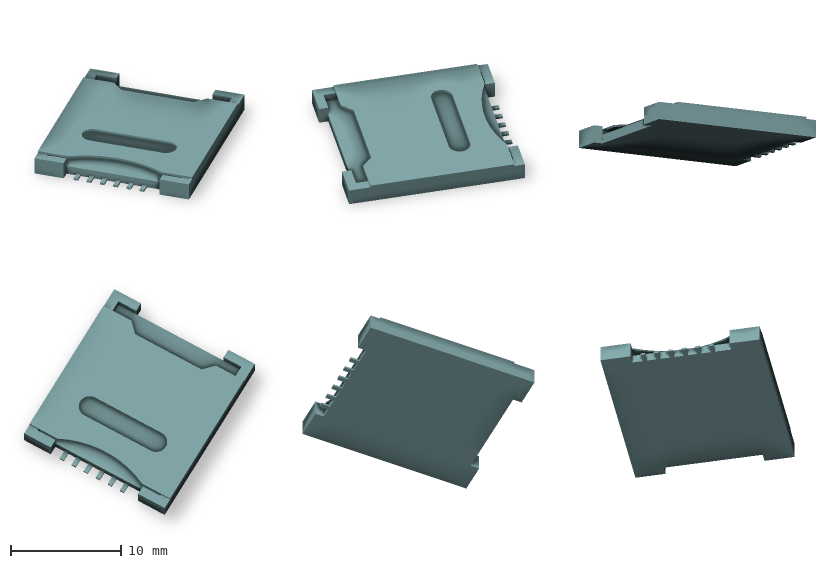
import cadquery as cq

WIDTH = 14.75
LENGTH = 16.4
HEIGHT = 1.8

COVER_THICKNESS = 0.2
FLOOR_THICKNESS = 0.8
SIDE_WALL = 0.92
END_WALL = 0.85
CORNER_WIDTH = 2.79

COVER_FRONT_INSET = 0.98
COVER_BACK_INSET = 1.98
NOTCH_DEPTH = 0.98
NOTCH_OUTER_WIDTH = 8.89
NOTCH_INNER_WIDTH = 6.95
THUMB_WIDTH = NOTCH_OUTER_WIDTH
THUMB_DEPTH = 1.07
SLOT_LENGTH = 8.97
SLOT_WIDTH = 2.0
SLOT_FROM_FRONT = 5.2

PIN_COUNT = 6
PIN_PITCH = 1.26
PIN_WIDTH = 0.43
PIN_HEIGHT = 0.2
PIN_ROW_CENTER_X = -0.28

tray_height = HEIGHT - COVER_THICKNESS
front_y = -LENGTH / 2
bay_length = LENGTH - 2 * END_WALL


def centered_box(width, length, height, z=0):
    """Box centred on X and Y, standing on the given Z level."""
    return cq.Workplane("XY").workplane(offset=z).rect(width, length).extrude(height)


def make_tray():
    """Frame with a sunken floor and end walls interrupted between the corners."""
    bay_depth = tray_height - FLOOR_THICKNESS
    bay = centered_box(WIDTH - 2 * SIDE_WALL, bay_length, bay_depth, FLOOR_THICKNESS)
    end_gaps = centered_box(WIDTH - 2 * CORNER_WIDTH, LENGTH, tray_height)
    floor = centered_box(WIDTH - 2 * SIDE_WALL, bay_length, FLOOR_THICKNESS)
    return centered_box(WIDTH, LENGTH, tray_height).cut(bay).cut(end_gaps).union(floor)


def make_cover():
    """Thin plate with a front thumb arc, a rear notch and a rounded slot."""
    front = front_y + COVER_FRONT_INSET
    back = LENGTH / 2 - COVER_BACK_INSET
    plate = (
        cq.Workplane("XY")
        .workplane(offset=tray_height)
        .moveTo(-WIDTH / 2, front)
        .lineTo(-THUMB_WIDTH / 2, front)
        .threePointArc((0, front + THUMB_DEPTH), (THUMB_WIDTH / 2, front))
        .lineTo(WIDTH / 2, front)
        .lineTo(WIDTH / 2, back)
        .lineTo(NOTCH_OUTER_WIDTH / 2, back)
        .lineTo(NOTCH_INNER_WIDTH / 2, back - NOTCH_DEPTH)
        .lineTo(-NOTCH_INNER_WIDTH / 2, back - NOTCH_DEPTH)
        .lineTo(-NOTCH_OUTER_WIDTH / 2, back)
        .lineTo(-WIDTH / 2, back)
        .close()
        .extrude(COVER_THICKNESS)
    )
    slot = (
        cq.Workplane("XY")
        .workplane(offset=tray_height)
        .center(0, front_y + SLOT_FROM_FRONT)
        .slot2D(SLOT_LENGTH, SLOT_WIDTH)
        .extrude(COVER_THICKNESS)
    )
    return plate.cut(slot)


def make_pins():
    """Row of contact tails reaching from the floor to the front plane."""
    row_start_x = PIN_ROW_CENTER_X - (PIN_COUNT - 1) * PIN_PITCH / 2
    centers = [(row_start_x + i * PIN_PITCH, front_y + END_WALL / 2) for i in range(PIN_COUNT)]
    return cq.Workplane("XY").pushPoints(centers).rect(PIN_WIDTH, END_WALL).extrude(PIN_HEIGHT)


result = make_tray().union(make_cover()).union(make_pins())